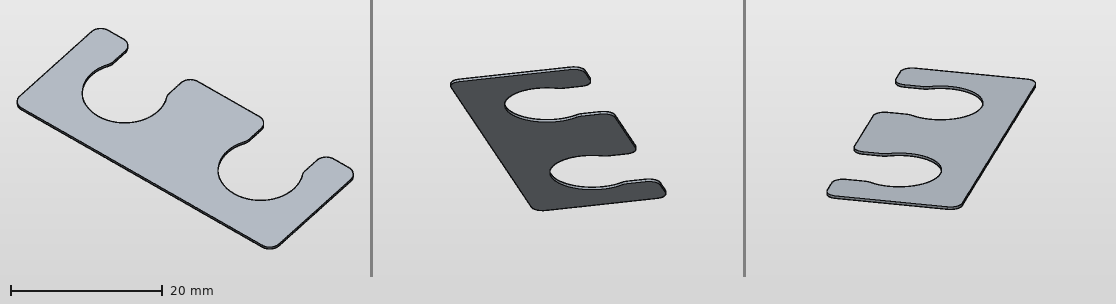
import cadquery as cq

length = 43.7
width = 18.3
thickness = 0.38
corner_radius = 1.57

notch_pitch = 22.9
hole_radius = 5.6
hole_height = 10.7
slot_width = 9.4
throat_radius = corner_radius

back_edge = width / 2
hole_y = hole_height - back_edge
edge_margin = 0.45


def keyhole_notch(x):
    """Round hole with a narrower slot running out through the +Y edge."""
    slot_length = back_edge - hole_y
    hole = cq.Workplane("XY").center(x, hole_y).circle(hole_radius).extrude(thickness)
    slot = (
        cq.Workplane("XY")
        .center(x, hole_y + slot_length / 2)
        .rect(slot_width, slot_length)
        .extrude(thickness)
    )
    notch = hole.union(slot)
    throat_edges = cq.selectors.BoxSelector(
        (x - hole_radius, hole_y + edge_margin, 0),
        (x + hole_radius, back_edge - edge_margin, thickness),
    )
    return notch.edges("|Z").edges(throat_edges).fillet(throat_radius)


plate = cq.Workplane("XY").rect(length, width).extrude(thickness)
for notch_x in (-notch_pitch / 2, notch_pitch / 2):
    plate = plate.cut(keyhole_notch(notch_x))

plate = plate.edges("|Z and (>Y or <Y)").fillet(corner_radius)

result = plate